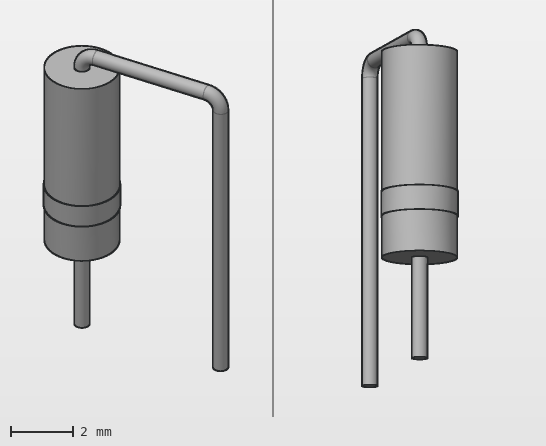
import cadquery as cq

total_height = 10.84

body_diameter = 2.44
body_bottom = 3.3
body_top = 10.04
band_diameter = 2.48
band_bottom = 4.65
band_top = 5.45

wire_diameter = 0.51
lead_spacing = 5.08
bend_radius = 0.51
wire_top = total_height - wire_diameter / 2
bend_start = wire_top - bend_radius


def upright_cylinder(diameter, bottom, top):
    """Cylinder on the body axis between two heights."""
    return cq.Workplane("XY").workplane(offset=bottom).circle(diameter / 2).extrude(top - bottom)


def bent_wire():
    """Round wire swept along a path with two rounded right-angle bends."""
    path = (
        cq.Workplane("XZ")
        .lineTo(0, bend_start)
        .tangentArcPoint((bend_radius, wire_top), relative=False)
        .lineTo(lead_spacing - bend_radius, wire_top)
        .tangentArcPoint((lead_spacing, bend_start), relative=False)
        .lineTo(lead_spacing, 0)
    )
    return cq.Workplane("XY").circle(wire_diameter / 2).sweep(path)


body = upright_cylinder(body_diameter, body_bottom, body_top)
band = upright_cylinder(band_diameter, band_bottom, band_top)

result = body.union(band).union(bent_wire())